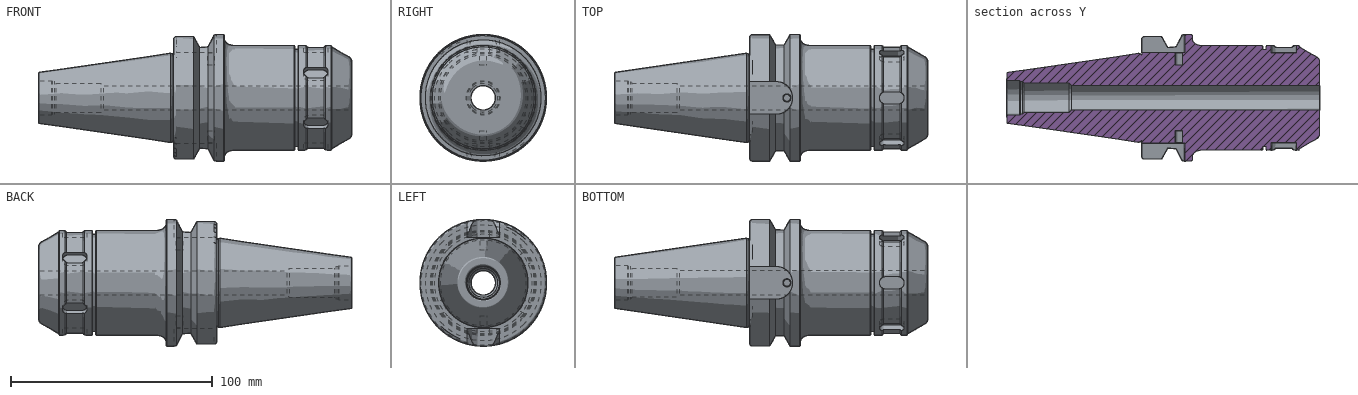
import cadquery as cq
import math

TOTAL_LENGTH = 155.4

TAPER_LENGTH = 65.5
TAPER_LARGE_D = 44.5
TAPER_RATIO = 7 / 24
TAPER_END_ROUND = 0.8
NECK_D = 44.1
UNDERCUT_D = 42.6
UNDERCUT_LENGTH = 0.8

FLANGE_D = 63.0
FLANGE_X = 67.0
FLANGE_ROUND = 1.4
FLANGE_END_X = 92.3
FLANGE_END_CHAMFER = 0.6
GROOVE_D = 52.7
GROOVE_OPEN_X = 77.0
GROOVE_FLOOR_LENGTH = 4.2
GROOVE_FLANK_ANGLE = 30.0

BODY_D = 52.0
BODY_END_X = 127.1
ROOT_TIGHT_RADIUS = 3.4
ROOT_EASY_RADIUS = 9.3
ROOT_JOIN_X = 94.5
ROOT_END_X = 97.5
EDGE_CHAMFER = 0.5

RELIEF_D = 48.3
NUT_X = 128.5
BAND_D = 50.5
BAND_X = 132.7
BAND_END_X = 142.2
BAND_SHOULDER = 0.6
NUT_RIM_END_X = 145.5
NOSE_LARGE_D = 50.5
NOSE_ANGLE = 30.0
NOSE_ROUND = 3.1

SLOT_COUNT = 6
SLOT_LENGTH = 12.3
SLOT_WIDTH = 6.0
SLOT_FLOOR = 22.4

KEYWAY_WIDTH = 16.2
KEYWAY_FLOOR = 22.5
KEYWAY_END_X = 88.3
KEY_HOLE_D = 3.4
KEY_HOLE_MOUTH_D = 4.0
KEY_HOLE_X = 85.5
KEY_HOLE_DEPTH = 6.2

MOUTH_ROUND = 1.0
PILOT_D = 17.0
PILOT_DEPTH = 6.5
STEP_D = 16.0
STEP_LENGTH = 1.0
THREAD_BORE_D = 14.3
THREAD_DEPTH = 31.1
THROUGH_D = 12.0


def turned_body():
    """Solid of revolution about X carrying every turned outer surface."""
    taper_large_r = TAPER_LARGE_D / 2
    taper_start_r = taper_large_r - (TAPER_LENGTH - TAPER_END_ROUND) * TAPER_RATIO / 2
    flange_r = FLANGE_D / 2
    groove_r = GROOVE_D / 2
    flank_length = (flange_r - groove_r) * math.tan(math.radians(GROOVE_FLANK_ANGLE))
    groove_floor_x = GROOVE_OPEN_X + flank_length
    groove_floor_end_x = groove_floor_x + GROOVE_FLOOR_LENGTH
    body_r = BODY_D / 2
    band_r = BAND_D / 2

    join_angle = math.asin((ROOT_END_X - ROOT_JOIN_X) / ROOT_EASY_RADIUS)
    join_r = body_r + ROOT_EASY_RADIUS * (1 - math.cos(join_angle))
    tight_centre_x = ROOT_JOIN_X + ROOT_TIGHT_RADIUS * math.sin(join_angle)
    tight_centre_r = join_r + ROOT_TIGHT_RADIUS * math.cos(join_angle)
    root_start_r = tight_centre_r - math.sqrt(ROOT_TIGHT_RADIUS**2 - (tight_centre_x - FLANGE_END_X) ** 2)

    nose_r = NOSE_LARGE_D / 2
    nose_angle = math.radians(NOSE_ANGLE)
    tip_r = nose_r - (TOTAL_LENGTH - NUT_RIM_END_X) * math.tan(nose_angle)
    tangent_length = NOSE_ROUND * math.tan((math.pi / 2 - nose_angle) / 2)
    round_start = (
        TOTAL_LENGTH - tangent_length * math.cos(nose_angle),
        tip_r + tangent_length * math.sin(nose_angle),
    )
    round_end = (TOTAL_LENGTH, tip_r - tangent_length)

    return (
        cq.Workplane("XY")
        .moveTo(0, 0)
        .lineTo(0, taper_start_r - TAPER_END_ROUND)
        .tangentArcPoint((TAPER_END_ROUND, taper_start_r), relative=False)
        .lineTo(TAPER_LENGTH, taper_large_r)
        .lineTo(TAPER_LENGTH, NECK_D / 2)
        .lineTo(FLANGE_X - UNDERCUT_LENGTH, NECK_D / 2)
        .lineTo(FLANGE_X, UNDERCUT_D / 2)
        .lineTo(FLANGE_X, flange_r - FLANGE_ROUND)
        .tangentArcPoint((FLANGE_X + FLANGE_ROUND, flange_r), relative=False)
        .lineTo(GROOVE_OPEN_X, flange_r)
        .lineTo(groove_floor_x, groove_r)
        .lineTo(groove_floor_end_x, groove_r)
        .lineTo(groove_floor_end_x + flank_length, flange_r)
        .lineTo(FLANGE_END_X - FLANGE_END_CHAMFER, flange_r)
        .lineTo(FLANGE_END_X, flange_r - FLANGE_END_CHAMFER)
        .lineTo(FLANGE_END_X, root_start_r)
        .radiusArc((ROOT_JOIN_X, join_r), -ROOT_TIGHT_RADIUS)
        .radiusArc((ROOT_END_X, body_r), -ROOT_EASY_RADIUS)
        .lineTo(BODY_END_X - EDGE_CHAMFER, body_r)
        .lineTo(BODY_END_X, body_r - EDGE_CHAMFER)
        .lineTo(BODY_END_X, RELIEF_D / 2)
        .lineTo(NUT_X, RELIEF_D / 2)
        .lineTo(NUT_X, body_r - EDGE_CHAMFER)
        .lineTo(NUT_X + EDGE_CHAMFER, body_r)
        .lineTo(BAND_X, body_r)
        .lineTo(BAND_X + BAND_SHOULDER, band_r)
        .lineTo(BAND_END_X - BAND_SHOULDER, band_r)
        .lineTo(BAND_END_X, body_r)
        .lineTo(NUT_RIM_END_X - EDGE_CHAMFER, body_r)
        .lineTo(NUT_RIM_END_X, nose_r)
        .lineTo(*round_start)
        .tangentArcPoint(round_end, relative=False)
        .lineTo(TOTAL_LENGTH, 0)
        .close()
        .revolve(360, (0, 0, 0), (1, 0, 0))
    )


def bore():
    """Pilot bore, steps and through hole, as one turned cutter."""
    pilot_r = PILOT_D / 2
    step_r = STEP_D / 2
    thread_r = THREAD_BORE_D / 2
    step_x = PILOT_DEPTH + pilot_r - step_r
    step_end_x = step_x + STEP_LENGTH
    end_cone = (THREAD_BORE_D - THROUGH_D) / 2
    return (
        cq.Workplane("XY")
        .moveTo(0, 0)
        .lineTo(0, pilot_r + MOUTH_ROUND)
        .radiusArc((MOUTH_ROUND, pilot_r), -MOUTH_ROUND)
        .lineTo(PILOT_DEPTH, pilot_r)
        .lineTo(step_x, step_r)
        .lineTo(step_end_x, step_r)
        .lineTo(step_end_x + step_r - thread_r, thread_r)
        .lineTo(THREAD_DEPTH, thread_r)
        .lineTo(THREAD_DEPTH + end_cone, THROUGH_D / 2)
        .lineTo(TOTAL_LENGTH, THROUGH_D / 2)
        .lineTo(TOTAL_LENGTH, 0)
        .close()
        .revolve(360, (0, 0, 0), (1, 0, 0))
    )


def keyway():
    """Round-ended drive keyway open toward the taper, with a chamfered hole in its floor."""
    round_x = KEYWAY_END_X - KEYWAY_WIDTH / 2
    height = FLANGE_D / 2 - KEYWAY_FLOOR
    mouth_chamfer = (KEY_HOLE_MOUTH_D - KEY_HOLE_D) / 2
    floor = cq.Workplane("XY").workplane(offset=KEYWAY_FLOOR)
    channel = (
        floor.moveTo(TAPER_LENGTH, -KEYWAY_WIDTH / 2)
        .lineTo(round_x, -KEYWAY_WIDTH / 2)
        .threePointArc((KEYWAY_END_X, 0), (round_x, KEYWAY_WIDTH / 2))
        .lineTo(TAPER_LENGTH, KEYWAY_WIDTH / 2)
        .close()
        .extrude(height)
    )
    hole = floor.center(KEY_HOLE_X, 0).circle(KEY_HOLE_D / 2).extrude(-KEY_HOLE_DEPTH)
    mouth = (
        floor.center(KEY_HOLE_X, 0)
        .circle(KEY_HOLE_MOUTH_D / 2)
        .workplane(offset=-mouth_chamfer)
        .circle(KEY_HOLE_D / 2)
        .loft()
    )
    return channel.union(hole).union(mouth)


def spanner_slot():
    """Round-ended, flat-floored slot at the top of the nut."""
    return (
        cq.Workplane("XY")
        .workplane(offset=SLOT_FLOOR)
        .center((BAND_X + BAND_END_X) / 2, 0)
        .slot2D(SLOT_LENGTH, SLOT_WIDTH)
        .extrude(BODY_D / 2 - SLOT_FLOOR)
    )


def around_axis(cutter, count):
    """Copies of a cutter, evenly spaced about the X axis."""
    return [cutter.rotate((0, 0, 0), (1, 0, 0), i * 360 / count) for i in range(count)]


result = turned_body().cut(bore())
for cutter in around_axis(keyway(), 2) + around_axis(spanner_slot(), SLOT_COUNT):
    result = result.cut(cutter)